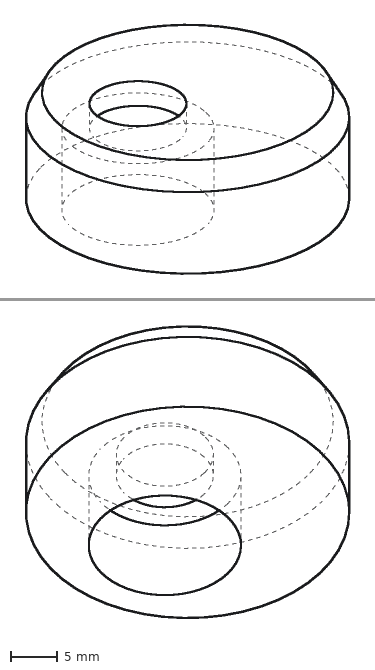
import cadquery as cq
import math

diameter = 35.0
height = 13.0

bevel_height = 3.0
bevel_angle = 30.0
bevel_inset = bevel_height * math.tan(math.radians(bevel_angle))

hole_diameter = 10.5
hole_offset = 6.0
counterbore_diameter = 16.5
hole_land = 3.0


def beveled_disc():
    """Revolve the half section about Z, with the base at z = 0."""
    radius = diameter / 2
    return (
        cq.Workplane("XZ")
        .lineTo(radius, 0)
        .lineTo(radius, height - bevel_height)
        .lineTo(radius - bevel_inset, height)
        .lineTo(0, height)
        .close()
        .revolve(360, (0, 0, 0), (0, 1, 0))
    )


def off_center_cylinder(cylinder_diameter, depth):
    """Cylinder rising from the base on the hole axis."""
    return cq.Workplane("XY").center(0, -hole_offset).circle(cylinder_diameter / 2).extrude(depth)


through_hole = off_center_cylinder(hole_diameter, height)
counterbore = off_center_cylinder(counterbore_diameter, height - hole_land)

result = beveled_disc().cut(through_hole).cut(counterbore)